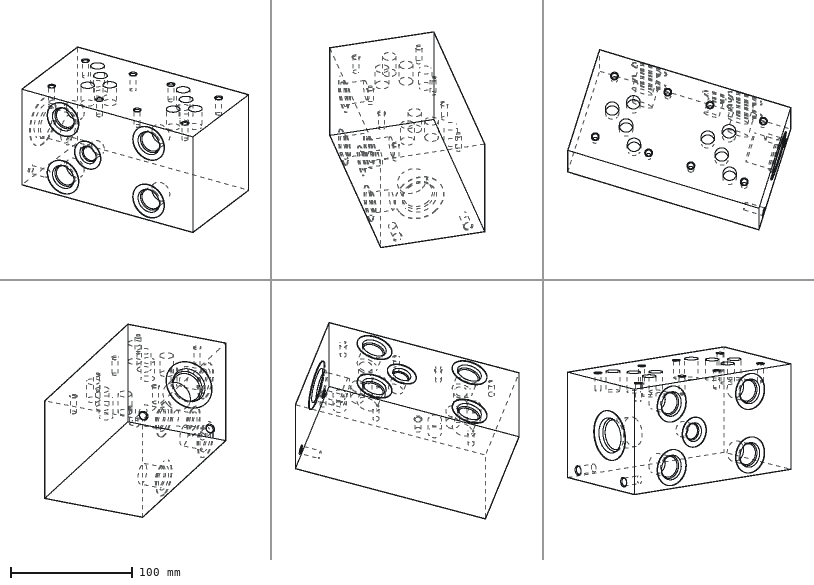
import cadquery as cq
import math

length = 165.1
side = 88.8
mid_height = side / 2

station_pitch = 82.5
station_starts = (0.0, station_pitch)

work_port_x = 39.6
work_port_inset = 17.7
gauge_port_x = 63.4
pressure_port_y = 33.2

spotface_depth = 0.7
work_port = dict(spotface_d=30.2, seat_d=20.6, lead_in_d=19.2, bore_d=17.3, seat_depth=2.6, depth=19.8)
gauge_port = dict(spotface_d=25.1, seat_d=15.7, lead_in_d=14.2, bore_d=12.7, seat_depth=2.6, depth=16.5)
pressure_port = dict(spotface_d=41.5, seat_d=29.2, lead_in_d=27.4, bore_d=24.8, seat_depth=3.5, depth=24.8)

passage_d = 11.2
passage_depth = 16.5
passage_x = 42.8
passage_offset_y = 10.2
pressure_passage_x = 58.0
tank_passage_x = 31.7
tank_passage_y = 68.2
valve_bolt_d = 5.0
valve_bolt_mouth_d = 6.5
valve_bolt_depth = 14.9
valve_bolt_x = 18.2
valve_bolt_spacing_x = 46.0
valve_bolt_inset_y = 17.7

mount_hole_d = 6.5
mount_hole_mouth_d = 8.0
mount_hole_depth = 16.5
mount_hole_inset_y = 14.2
mount_hole_z = 8.3

drill_point_angle = 118.0


def turned_cutter(profile, position, direction):
    """Revolve (radius, depth) points about an axis entering the block at position."""
    cutter = cq.Workplane("XZ").polyline(profile).close().revolve(360, (0, 0, 0), (0, 1, 0)).val()
    plane = cq.Plane(origin=position, normal=direction)
    return cutter.moved(cq.Location(plane))


def port_cutter(port, position, direction):
    bore_r = port["bore_d"] / 2
    lead_in_r = port["lead_in_d"] / 2
    seat_r = port["seat_d"] / 2
    spotface_r = port["spotface_d"] / 2
    lead_in_start = spotface_depth + port["seat_depth"]
    bore_start = lead_in_start + lead_in_r - bore_r
    profile = [
        (0, 0),
        (spotface_r, 0),
        (spotface_r, spotface_depth),
        (seat_r, spotface_depth),
        (lead_in_r, lead_in_start),
        (bore_r, bore_start),
        (bore_r, port["depth"]),
        (0, port["depth"]),
    ]
    return turned_cutter(profile, position, direction)


def tapped_hole_cutter(hole_d, mouth_d, depth, position, direction):
    hole_r = hole_d / 2
    mouth_r = mouth_d / 2
    point_length = hole_r / math.tan(math.radians(drill_point_angle / 2))
    profile = [
        (0, 0),
        (mouth_r, 0),
        (hole_r, mouth_r - hole_r),
        (hole_r, depth),
        (0, depth + point_length),
    ]
    return turned_cutter(profile, position, direction)


def passage_cutter(position, direction):
    return cq.Solid.makeCylinder(
        passage_d / 2, passage_depth, cq.Vector(*position), cq.Vector(*direction)
    )


into_front = (0, 1, 0)
into_left = (1, 0, 0)
into_top = (0, 0, -1)

cutters = [
    port_cutter(gauge_port, (gauge_port_x, 0, mid_height), into_front),
    port_cutter(pressure_port, (0, pressure_port_y, mid_height), into_left),
]

for start in station_starts:
    for z in (work_port_inset, side - work_port_inset):
        cutters.append(port_cutter(work_port, (start + work_port_x, 0, z), into_front))

    passages = [
        (passage_x, side / 2 - passage_offset_y),
        (passage_x, side / 2 + passage_offset_y),
        (pressure_passage_x, side / 2),
        (tank_passage_x, tank_passage_y),
    ]
    for x, y in passages:
        cutters.append(passage_cutter((start + x, y, side), into_top))

    for x in (valve_bolt_x, valve_bolt_x + valve_bolt_spacing_x):
        for y in (valve_bolt_inset_y, side - valve_bolt_inset_y):
            cutters.append(
                tapped_hole_cutter(
                    valve_bolt_d, valve_bolt_mouth_d, valve_bolt_depth, (start + x, y, side), into_top
                )
            )

for y in (mount_hole_inset_y, side - mount_hole_inset_y):
    cutters.append(
        tapped_hole_cutter(
            mount_hole_d, mount_hole_mouth_d, mount_hole_depth, (0, y, mount_hole_z), into_left
        )
    )

block = cq.Workplane("XY").box(length, side, side, centered=False)
for cutter in cutters:
    block = block.cut(cq.Workplane(obj=cutter))

result = block